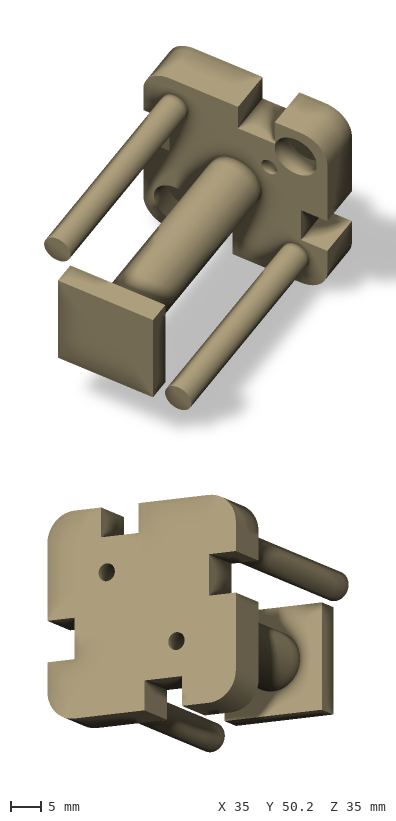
import cadquery as cq

total_length = 50.25
base_side = 35.0
base_thickness = 8.0
corner_radius = 5.0
head_side = 18.1
head_thickness = 4.0

notch_width = 7.0
notch_depth = 5.0
notch_offset = 4.0

piston_diameter = 10.0
rod_diameter = 5.0
corner_offset = 11.5
counterbore_diameter = 8.0
counterbore_depth = 4.0
small_hole_diameter = 3.0
small_hole_offset = 6.5

base_front = total_length / 2 - base_thickness
head_back = -total_length / 2 + head_thickness
shaft_length = base_front - head_back


def plane_at(y):
    """Sketch plane at the given Y whose normal points to +Y."""
    return cq.Workplane(cq.Plane(origin=(0, y, 0), xDir=(-1, 0, 0), normal=(0, 1, 0)))


def diagonal_points(offset):
    """Mirrored points on the hole diagonal, through the +X+Z and -X-Z corners."""
    return [(-offset, offset), (offset, -offset)]


def make_base():
    base = plane_at(base_front).rect(base_side, base_side).extrude(base_thickness)
    base = base.edges("|Y").fillet(corner_radius)

    notch = (
        plane_at(base_front)
        .center(-notch_offset, (base_side - notch_depth) / 2)
        .rect(notch_width, notch_depth)
        .extrude(base_thickness)
    )
    for quarter_turn in range(4):
        base = base.cut(notch.rotate((0, 0, 0), (0, 1, 0), 90 * quarter_turn))

    counterbores = (
        plane_at(base_front)
        .pushPoints(diagonal_points(corner_offset))
        .circle(counterbore_diameter / 2)
        .extrude(counterbore_depth)
    )
    small_holes = (
        plane_at(base_front)
        .pushPoints(diagonal_points(small_hole_offset))
        .circle(small_hole_diameter / 2)
        .extrude(base_thickness)
    )
    return base.cut(counterbores).cut(small_holes)


def make_shafts():
    piston = plane_at(head_back).circle(piston_diameter / 2).extrude(shaft_length)
    rods = (
        plane_at(head_back)
        .pushPoints([(corner_offset, corner_offset), (-corner_offset, -corner_offset)])
        .circle(rod_diameter / 2)
        .extrude(shaft_length)
    )
    return piston.union(rods)


def make_head():
    return plane_at(-total_length / 2).rect(head_side, head_side).extrude(head_thickness)


result = make_base().union(make_shafts()).union(make_head())